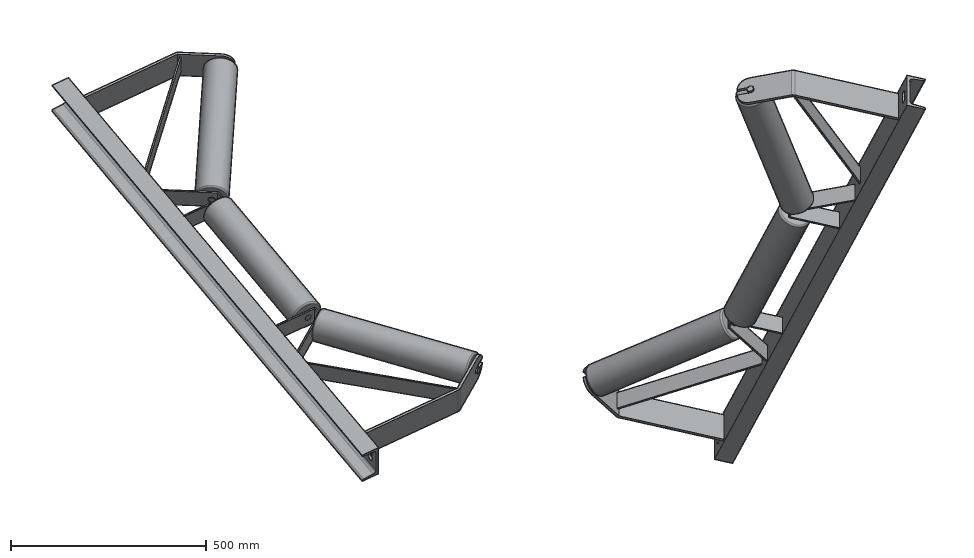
import cadquery as cq
import math


BEAM_LENGTH = 1500.0
BEAM_HEIGHT = 100.0
BEAM_DEPTH = 50.0
WEB_THICKNESS = 8.0
FLANGE_ROOT = 9.0
FLANGE_TIP = 6.0
FLANGE_ROOT_FILLET = 9.0
FLANGE_TOE_FILLET = 5.0
SLOT_WIDTH = 18.0
SLOT_LENGTH = 36.0
SLOT_END_DISTANCE = 28.0

ROLLER_DIAMETER = 88.0
ROLLER_LENGTH = 430.0
ROLLER_EDGE_FILLET = 5.0
SHAFT_DIAMETER = 18.0
INNER_SHAFT_STUB = 8.0
OUTER_SHAFT_STUB = 16.0
TROUGH_ANGLE = 35.0
TILT_ANGLE = 2.5
CENTRE_ROLLER_Y = 117.0
CENTRE_ROLLER_Z = -20.0
WING_ROLLER_X = 434.0
WING_ROLLER_Y = 249.0
WING_ROLLER_Z = -9.8

OUTER_STRAP_WIDTH = 82.0
OUTER_STRAP_THICKNESS = 8.0
OUTER_STRAP_X = 684.0
OUTER_BEND_Y = 286.0
OUTER_BEND_RADIUS = 15.0
OUTER_ARM_LENGTH = 150.0
OUTER_TIP_FILLET = 36.0

INNER_STRAP_WIDTH = 52.0
INNER_STRAP_THICKNESS = 5.0
INNER_LEG_X = 220.0
INNER_BRACKET_HEIGHT = 140.0
INNER_TOP_WIDTH = 25.0
INNER_BEND_RADIUS = 8.0

BRACE_WIDTH = 52.0
BRACE_THICKNESS = 5.0
BRACE_Z = 5.0
BRACE_FOOT_X = 380.0

SIN_TROUGH = math.sin(math.radians(TROUGH_ANGLE))
COS_TROUGH = math.cos(math.radians(TROUGH_ANGLE))
TAN_TROUGH = SIN_TROUGH / COS_TROUGH
BEND_STEP = OUTER_STRAP_THICKNESS * math.tan(math.radians(TROUGH_ANGLE / 2))


def edges_near(body, x, y):
    """Upright edges of a body that pass through the plan position (x, y)."""
    reach = 0.2
    box = cq.selectors.BoxSelector(
        (x - reach, y - reach, -BEAM_HEIGHT), (x + reach, y + reach, BEAM_HEIGHT))
    return body.edges("|Z").edges(box)


def inside_corners(beam, y):
    """Lengthwise edges at depth y on the inner faces of the two flanges."""
    reach = 0.2
    inside_height = BEAM_HEIGHT / 2 - FLANGE_TIP / 2
    box = cq.selectors.BoxSelector(
        (-BEAM_LENGTH, y - reach, -inside_height), (BEAM_LENGTH, y + reach, inside_height))
    return beam.edges("|X").edges(box)


def make_beam():
    half = BEAM_HEIGHT / 2
    profile = [
        (0, -half),
        (-BEAM_DEPTH, -half),
        (-BEAM_DEPTH, -half + FLANGE_TIP),
        (-WEB_THICKNESS, -half + FLANGE_ROOT),
        (-WEB_THICKNESS, half - FLANGE_ROOT),
        (-BEAM_DEPTH, half - FLANGE_TIP),
        (-BEAM_DEPTH, half),
        (0, half),
    ]
    beam = cq.Workplane("YZ").polyline(profile).close().extrude(BEAM_LENGTH / 2, both=True)
    beam = inside_corners(beam, -WEB_THICKNESS).fillet(FLANGE_ROOT_FILLET)
    beam = inside_corners(beam, -BEAM_DEPTH).fillet(FLANGE_TOE_FILLET)
    slot_x = BEAM_LENGTH / 2 - SLOT_END_DISTANCE
    slots = (
        cq.Workplane("XZ")
        .pushPoints([(-slot_x, 0), (slot_x, 0)])
        .slot2D(SLOT_LENGTH, SLOT_WIDTH, 90)
        .extrude(WEB_THICKNESS)
    )
    return beam.cut(slots)


def make_roller(left_stub, right_stub):
    """Roller along X about the origin, with a shaft stub at each end."""
    half = ROLLER_LENGTH / 2
    shell = (
        cq.Workplane("YZ", origin=(-half, 0, 0))
        .circle(ROLLER_DIAMETER / 2)
        .extrude(ROLLER_LENGTH)
        .faces("<X or >X").edges()
        .fillet(ROLLER_EDGE_FILLET)
    )
    shaft = (
        cq.Workplane("YZ", origin=(-half - left_stub, 0, 0))
        .circle(SHAFT_DIAMETER / 2)
        .extrude(ROLLER_LENGTH + left_stub + right_stub)
    )
    return shell.union(shaft)


def place_wing(body):
    """Move a body from the X axis to the axis of the right-hand wing roller."""
    return (
        body.rotate((0, 0, 0), (0, 1, 0), -TILT_ANGLE)
        .rotate((0, 0, 0), (0, 0, 1), TROUGH_ANGLE)
        .translate((WING_ROLLER_X, WING_ROLLER_Y, WING_ROLLER_Z))
    )


def make_outer_bracket(wing_roller):
    inner_x = OUTER_STRAP_X - OUTER_STRAP_THICKNESS
    tip_x = OUTER_STRAP_X - OUTER_ARM_LENGTH * SIN_TROUGH
    tip_y = OUTER_BEND_Y + OUTER_ARM_LENGTH * COS_TROUGH
    outline = [
        (OUTER_STRAP_X, 0),
        (OUTER_STRAP_X, OUTER_BEND_Y),
        (tip_x, tip_y),
        (tip_x - OUTER_STRAP_THICKNESS * COS_TROUGH, tip_y - OUTER_STRAP_THICKNESS * SIN_TROUGH),
        (inner_x, OUTER_BEND_Y - BEND_STEP),
        (inner_x, 0),
    ]
    strap = cq.Workplane("XY").polyline(outline).close().extrude(OUTER_STRAP_WIDTH / 2, both=True)
    strap = edges_near(strap, OUTER_STRAP_X, OUTER_BEND_Y).fillet(OUTER_BEND_RADIUS)
    across_arm = cq.selectors.ParallelDirSelector(cq.Vector(COS_TROUGH, SIN_TROUGH, 0))
    strap = strap.edges(across_arm).fillet(OUTER_TIP_FILLET)
    slot_cutter = place_wing(
        cq.Workplane("XY", origin=(ROLLER_LENGTH / 2, 0, 0))
        .box(ROLLER_DIAMETER, ROLLER_DIAMETER, SHAFT_DIAMETER, centered=(True, False, True))
    )
    return strap.cut(slot_cutter).cut(wing_roller)


def make_inner_bracket(centre_roller, wing_roller):
    height = INNER_BRACKET_HEIGHT
    thickness = INNER_STRAP_THICKNESS
    top_end = INNER_LEG_X + INNER_TOP_WIDTH
    foot = top_end + height * TAN_TROUGH
    slant_width = thickness / COS_TROUGH
    under_top_end = top_end + thickness * TAN_TROUGH - slant_width
    outline = [
        (INNER_LEG_X, 0),
        (INNER_LEG_X, height),
        (top_end, height),
        (foot, 0),
        (foot - slant_width, 0),
        (under_top_end, height - thickness),
        (INNER_LEG_X + thickness, height - thickness),
        (INNER_LEG_X + thickness, 0),
    ]
    strap = (
        cq.Workplane("XY", origin=(0, 0, CENTRE_ROLLER_Z))
        .polyline(outline).close()
        .extrude(INNER_STRAP_WIDTH / 2, both=True)
    )
    for corner_x in (INNER_LEG_X, top_end):
        strap = edges_near(strap, corner_x, height).fillet(INNER_BEND_RADIUS)
    return strap.cut(centre_roller).cut(wing_roller)


def brace_edge_end(foot_x):
    """Point where a 45 degree line from the beam at foot_x meets the arm's inner face."""
    bend_x = OUTER_STRAP_X - OUTER_STRAP_THICKNESS
    bend_y = OUTER_BEND_Y - BEND_STEP
    distance_along_arm = (bend_x - bend_y - foot_x) / (SIN_TROUGH + COS_TROUGH)
    return (bend_x - distance_along_arm * SIN_TROUGH, bend_y + distance_along_arm * COS_TROUGH)


def make_brace():
    outer_foot_x = BRACE_FOOT_X + BRACE_THICKNESS * math.sqrt(2)
    outline = [
        (BRACE_FOOT_X, 0),
        (outer_foot_x, 0),
        brace_edge_end(outer_foot_x),
        brace_edge_end(BRACE_FOOT_X),
    ]
    return (
        cq.Workplane("XY", origin=(0, 0, BRACE_Z))
        .polyline(outline).close()
        .extrude(BRACE_WIDTH / 2, both=True)
    )


beam = make_beam()
centre_roller = make_roller(INNER_SHAFT_STUB, INNER_SHAFT_STUB).translate(
    (0, CENTRE_ROLLER_Y, CENTRE_ROLLER_Z))
wing_roller = place_wing(make_roller(INNER_SHAFT_STUB, OUTER_SHAFT_STUB))
outer_bracket = make_outer_bracket(wing_roller)
inner_bracket = make_inner_bracket(centre_roller, wing_roller)
brace = make_brace()

bodies = [beam.solids().val(), centre_roller.solids().val()]
for right_body in (wing_roller, outer_bracket, inner_bracket, brace):
    left_body = right_body.mirror("YZ")
    bodies += [right_body.solids().val(), left_body.solids().val()]

result = cq.Compound.makeCompound(bodies)